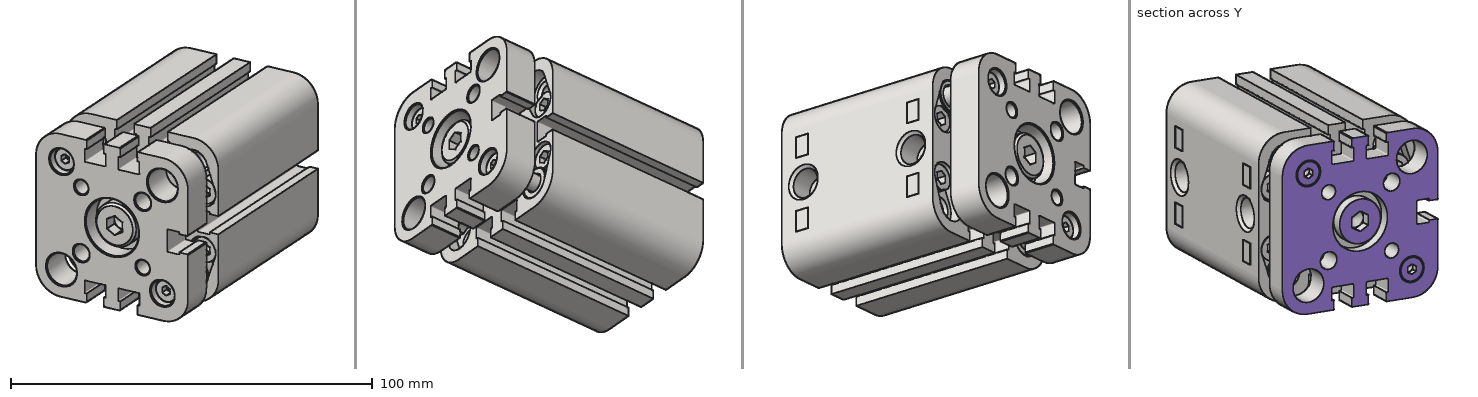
import cadquery as cq
import math

SIDE = 49.0
HALF = SIDE / 2
CORNER_PITCH = 32.5
CORNER = CORNER_PITCH / 2
CORNER_RADIUS = 8.0

OVERALL_LENGTH = 70.2
PLATE_THICKNESS = 10.0
GAP = 6.4
BODY_LENGTH = OVERALL_LENGTH - PLATE_THICKNESS - GAP
PLATE_BACK = -GAP
PLATE_FRONT = PLATE_BACK - PLATE_THICKNESS

SLOT_OFFSET = 5.42
SLOT_NECK = 5.5
SLOT_WIDTH = 6.8
SLOT_LIP = 2.8
SLOT_DEPTH = 6.65
SLOT_CORNER_RADIUS = 0.3
PLATE_SLOT_CHAMFER = 0.2

ROD_DIAMETER = 12.0
ROD_FLATS = 10.0
ROD_FLAT_START = 1.3
ROD_END_CHAMFER = 1.0

GUIDE_RODS = [(-CORNER, CORNER, 6.0), (CORNER, -CORNER, 5.0)]
CORNER_BORE = 9.5
GUIDE_SEAL_RECESS = 0.2
GUIDE_SEAL_CHAMFER = 0.3
GUIDE_CLEARANCE = 0.325
GUIDE_CLEARANCE_DEPTH = 1.0

HEX_TIP_RATIO = 0.25

EDGE_BREAK = 0.3
ACCESS_DIAMETER = CORNER_BORE
CENTRE_BORE = 17.0
CENTRE_BORE_DEPTH = 6.0
CENTRE_HEAD_DIAMETER = 13.0
CENTRE_HEAD_RECESS = 1.5
CENTRE_HEAD_CHAMFER = 0.7
CENTRE_HEX = 5.0
CENTRE_HEX_DEPTH = 4.0
ROD_SCREW_BORE = 7.5
ROD_SCREW_BORE_DEPTH = 5.0
ROD_SCREW_HEAD = 7.0
ROD_SCREW_HEAD_CHAMFER = 0.3
ROD_SCREW_RECESS = 2.0
ROD_SCREW_HEX = 2.5
ROD_SCREW_HEX_DEPTH = 2.5
PIN_OFFSET = 9.9
THREAD_HOLE = 4.2
DOWEL_HOLE = 5.0

MOUNT_HOLE = 4.92
MOUNT_THREAD = 6.65
MOUNT_THREAD_CHAMFER = (MOUNT_THREAD - MOUNT_HOLE) / 2
POCKET_DEPTH = 4.0
COVER_SCREW_X = 19.4
COVER_SCREW_Z = 8.8
COVER_SCREW_BORE = 8.4
COVER_SCREW_HEAD = 7.5
COVER_SCREW_RECESS = 1.0
COVER_SCREW_HEX = 3.5
COVER_SCREW_HEX_DEPTH = 2.8

PORT_FROM_END = 7.75
PORT_DIAMETER = 8.57
PORT_MOUTH = 10.4
PORT_DEPTH = 8.0
PORT_DUCT = 2.5
PORT_DUCT_SHIFT = 1.9
PORT_DUCT_DEPTH = 3.0

LABEL_LENGTH = 4.2
LABEL_HEIGHT = 6.2
LABEL_OFFSET = 11.05
LABEL_SHIFT = 0.6
LABEL_DEPTH = 0.2

ALONG_Y = cq.Vector(0, 1, 0)


def rod_y(x, z, diameter, y_start, y_end):
    """Cylinder along Y."""
    start = cq.Vector(x, y_start, z)
    cylinder = cq.Solid.makeCylinder(diameter / 2, y_end - y_start, start, ALONG_Y)
    return cq.Workplane(obj=cylinder)


def cone_y(x, z, start_diameter, end_diameter, y_start, y_end):
    """Truncated cone along Y."""
    start = cq.Vector(x, y_start, z)
    cone = cq.Solid.makeCone(start_diameter / 2, end_diameter / 2, y_end - y_start, start, ALONG_Y)
    return cq.Workplane(obj=cone)


def chamfered_bore(x, z, diameter, y_start, y_end, chamfer=EDGE_BREAK):
    """Bore along +Y with a broken edge at its mouth."""
    mouth = cone_y(x, z, diameter + 2 * chamfer, diameter, y_start, y_start + chamfer)
    return rod_y(x, z, diameter, y_start, y_end).union(mouth)


def hex_socket(x, z, across_flats, y_start, depth):
    """Hexagon socket with a conical bottom and two points along Z."""
    across_corners = across_flats / math.cos(math.pi / 6)
    prism = (
        cq.Workplane("XZ", origin=(x, y_start, z))
        .transformed(rotate=(0, 0, 90))
        .polygon(6, across_corners)
        .extrude(-depth)
    )
    tip = cone_y(x, z, across_flats, 0, y_start + depth, y_start + depth + across_flats * HEX_TIP_RATIO)
    return prism.union(tip)


def slot_cutter(offset, angle, y_start, y_end, chamfer):
    """T-slot open to +Z at the given offset, turned about Y by the angle."""
    length = y_end - y_start
    wide = (
        cq.Workplane("XY")
        .box(SLOT_WIDTH, length, SLOT_DEPTH - SLOT_LIP, centered=(True, False, False))
        .edges("|Y").fillet(SLOT_CORNER_RADIUS)
        .translate((offset, y_start, HALF - SLOT_DEPTH))
    )
    neck = (
        cq.Workplane("XY")
        .box(SLOT_NECK, length, SLOT_DEPTH, centered=(True, False, False))
        .translate((offset, y_start, HALF - SLOT_LIP - SLOT_CORNER_RADIUS))
    )
    cutter = wide.union(neck)
    if chamfer > 0:
        half_neck = SLOT_NECK / 2
        mouth = (
            cq.Workplane("XZ", origin=(offset, y_start, HALF))
            .moveTo(-half_neck - chamfer, 0)
            .lineTo(half_neck + chamfer, 0)
            .lineTo(half_neck, -chamfer)
            .lineTo(-half_neck, -chamfer)
            .close()
            .extrude(-length)
        )
        cutter = cutter.union(mouth)
    return cutter.rotate((0, 0, 0), (0, 1, 0), angle)


def profile_block(y_start, y_end, slot_chamfer=0.0):
    """Rounded square block with slots on the +Z, -Z and +X sides."""
    block = (
        cq.Workplane("XY")
        .box(SIDE, y_end - y_start, SIDE, centered=(True, False, True))
        .edges("|Y").fillet(CORNER_RADIUS)
        .translate((0, y_start, 0))
    )
    slots = [(0, 90)]
    for angle in (0, 180):
        slots += [(-SLOT_OFFSET, angle), (SLOT_OFFSET, angle)]
    for offset, angle in slots:
        block = block.cut(slot_cutter(offset, angle, y_start, y_end, slot_chamfer))
    return block


def corner_pocket(x_sign, z_sign, depth):
    """Pocket whose outline wraps a corner bore and the cover screw next to it."""
    corner_radius = CORNER_BORE / 2
    screw_radius = COVER_SCREW_BORE / 2
    dx = COVER_SCREW_X - CORNER
    dz = COVER_SCREW_Z - CORNER
    distance = math.hypot(dx, dz)
    axis_angle = math.atan2(dz, dx)
    tangent_angle = math.acos((corner_radius - screw_radius) / distance)

    def on_circle(x, z, radius, angle):
        return (x_sign * (x + radius * math.cos(angle)), z_sign * (z + radius * math.sin(angle)))

    left = axis_angle + tangent_angle
    right = axis_angle - tangent_angle
    return (
        cq.Workplane("XZ")
        .moveTo(*on_circle(CORNER, CORNER, corner_radius, left))
        .lineTo(*on_circle(COVER_SCREW_X, COVER_SCREW_Z, screw_radius, left))
        .threePointArc(
            on_circle(COVER_SCREW_X, COVER_SCREW_Z, screw_radius, axis_angle),
            on_circle(COVER_SCREW_X, COVER_SCREW_Z, screw_radius, right),
        )
        .lineTo(*on_circle(CORNER, CORNER, corner_radius, right))
        .threePointArc(
            on_circle(CORNER, CORNER, corner_radius, axis_angle + math.pi),
            on_circle(CORNER, CORNER, corner_radius, left),
        )
        .close()
        .extrude(-depth)
    )


def cut_port(body, y, inward):
    """Air port with its duct and the two label recesses; inward points to the body middle."""
    into_body = cq.Vector(1, 0, 0)
    mouth_depth = (PORT_MOUTH - PORT_DIAMETER) / 2
    centre = cq.Vector(-HALF, y, 0)
    duct_start = cq.Vector(-HALF, y + inward * PORT_DUCT_SHIFT, 0)
    bore = cq.Solid.makeCylinder(PORT_DIAMETER / 2, PORT_DEPTH, centre, into_body)
    mouth = cq.Solid.makeCone(PORT_MOUTH / 2, PORT_DIAMETER / 2, mouth_depth, centre, into_body)
    duct = cq.Solid.makeCylinder(PORT_DUCT / 2, PORT_DEPTH + PORT_DUCT_DEPTH, duct_start, into_body)
    for cutter in (bore, mouth, duct):
        body = body.cut(cq.Workplane(obj=cutter))
    for side in (-1, 1):
        label = (
            cq.Workplane("XY")
            .box(LABEL_DEPTH, LABEL_LENGTH, LABEL_HEIGHT, centered=(False, True, True))
            .translate((-HALF, y - inward * LABEL_SHIFT, side * LABEL_OFFSET))
        )
        body = body.cut(label)
    return body


def make_body():
    """Body with corner pockets, cover screws, mounting holes and ports."""
    body = profile_block(0, BODY_LENGTH)
    for x_sign in (-1, 1):
        for z_sign in (-1, 1):
            body = body.cut(corner_pocket(x_sign, z_sign, POCKET_DEPTH))
            x = x_sign * COVER_SCREW_X
            z = z_sign * COVER_SCREW_Z
            body = body.union(rod_y(x, z, COVER_SCREW_HEAD, COVER_SCREW_RECESS, POCKET_DEPTH))
            body = body.cut(hex_socket(x, z, COVER_SCREW_HEX, COVER_SCREW_RECESS, COVER_SCREW_HEX_DEPTH))
            body = body.cut(rod_y(x_sign * CORNER, z_sign * CORNER, CORNER_BORE, 0, POCKET_DEPTH))
    for sign in (-1, 1):
        body = body.cut(chamfered_bore(
            sign * CORNER, sign * CORNER, MOUNT_HOLE, POCKET_DEPTH, BODY_LENGTH, MOUNT_THREAD_CHAMFER))
    body = cut_port(body, PORT_FROM_END, 1)
    return cut_port(body, BODY_LENGTH - PORT_FROM_END, -1)


def make_guide_rod(x, z, diameter):
    """Guide rod with its seal ring in the body bore."""
    seal = rod_y(x, z, CORNER_BORE, GUIDE_SEAL_RECESS, POCKET_DEPTH)
    seal = seal.faces("<Y").chamfer(GUIDE_SEAL_CHAMFER)
    clearance = rod_y(x, z, diameter + 2 * GUIDE_CLEARANCE, GUIDE_SEAL_RECESS, GUIDE_CLEARANCE_DEPTH)
    return seal.cut(clearance).union(rod_y(x, z, diameter, PLATE_BACK, POCKET_DEPTH))


def make_piston_rod():
    """Piston rod with two wrench flats that run in at 45 degrees."""
    rod = rod_y(0, 0, ROD_DIAMETER, PLATE_BACK, 0).faces("<Y").chamfer(ROD_END_CHAMFER)
    radius = ROD_DIAMETER / 2
    flat = ROD_FLATS / 2
    step = radius - flat
    for sign in (-1, 1):
        cutter = (
            cq.Workplane("XY")
            .moveTo(sign * radius, -ROD_FLAT_START)
            .lineTo(sign * flat, -ROD_FLAT_START - step)
            .lineTo(sign * flat, PLATE_BACK)
            .lineTo(sign * radius, PLATE_BACK)
            .close()
            .extrude(radius, both=True)
        )
        rod = rod.cut(cutter)
    return rod


def make_plate():
    """Front plate with its screws, access holes and threaded and dowel holes."""
    plate = profile_block(PLATE_FRONT, PLATE_BACK, PLATE_SLOT_CHAMFER)

    plate = plate.cut(chamfered_bore(0, 0, CENTRE_BORE, PLATE_FRONT, PLATE_FRONT + CENTRE_BORE_DEPTH))
    head_top = PLATE_FRONT + CENTRE_HEAD_RECESS
    head = rod_y(0, 0, CENTRE_HEAD_DIAMETER, head_top, PLATE_FRONT + CENTRE_BORE_DEPTH)
    plate = plate.union(head.faces("<Y").chamfer(CENTRE_HEAD_CHAMFER))
    plate = plate.cut(hex_socket(0, 0, CENTRE_HEX, head_top, CENTRE_HEX_DEPTH))

    for sign in (-1, 1):
        access_at = sign * CORNER
        plate = plate.cut(chamfered_bore(access_at, access_at, ACCESS_DIAMETER, PLATE_FRONT, PLATE_BACK))
        dowel_at = sign * PIN_OFFSET
        plate = plate.cut(chamfered_bore(dowel_at, dowel_at, DOWEL_HOLE, PLATE_FRONT, PLATE_BACK))
        plate = plate.cut(chamfered_bore(dowel_at, -dowel_at, THREAD_HOLE, PLATE_FRONT, PLATE_BACK))

    screw_top = PLATE_FRONT + ROD_SCREW_RECESS
    bore_end = PLATE_FRONT + ROD_SCREW_BORE_DEPTH
    for x, z, _ in GUIDE_RODS:
        plate = plate.cut(chamfered_bore(x, z, ROD_SCREW_BORE, PLATE_FRONT, bore_end))
        screw_head = rod_y(x, z, ROD_SCREW_HEAD, screw_top, bore_end)
        plate = plate.union(screw_head.faces("<Y").chamfer(ROD_SCREW_HEAD_CHAMFER))
        plate = plate.cut(hex_socket(x, z, ROD_SCREW_HEX, screw_top, ROD_SCREW_HEX_DEPTH))
    return plate


result = make_body().union(make_plate()).union(make_piston_rod())
for guide_x, guide_z, guide_diameter in GUIDE_RODS:
    result = result.union(make_guide_rod(guide_x, guide_z, guide_diameter))